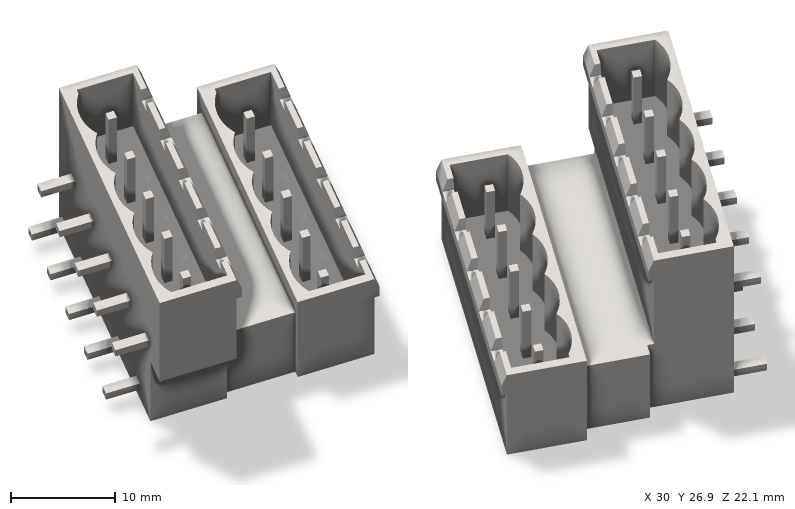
import cadquery as cq

overall_length = 29.98
pole_count = 5
pitch = 5.07
tier_shift = pitch / 2
tier_length = overall_length - tier_shift
tier_height = 12.0
front_top = 22.1
tier_rise = front_top - tier_height
row_spacing = 15.05

body_depth = 7.85
lip_reach = 0.55
lip_height = 2.95
lip_taper = 1.5

first_pole = 3.8
side_wall = 0.8
back_wall = 0.6
scallop_wall = 1.5
scallop_sag = 0.8
cavity_depth = 8.5

notch_top_width = 1.7
notch_bottom_width = 1.25
notch_depth = 1.5

contact_size = 0.85
contact_y = 3.9
contact_below_rim = 1.45
tail_size = 1.0
tail_length = 3.45
tail_z = 1.95

base_height = 9.53
block_left = 1.35
block_right = 26.77
block_front = 8.5


def box(x0, x1, y0, y1, z0, z1):
    """Box between two opposite corners."""
    return cq.Workplane("XY").box(x1 - x0, y1 - y0, z1 - z0, centered=False).translate((x0, y0, z0))


def pole_positions():
    """X of each pole, from the left end of a tier."""
    return [first_pole + i * pitch for i in range(pole_count)]


def tier_body(bottom):
    """Tier block whose profile carries a tapered lip at the top of its back face."""
    lip_y = body_depth + lip_reach
    profile = [
        (0, bottom),
        (body_depth, bottom),
        (body_depth, tier_height - lip_height),
        (lip_y, tier_height - lip_height),
        (lip_y, tier_height - lip_taper),
        (body_depth, tier_height),
        (0, tier_height),
    ]
    return cq.Workplane("YZ").polyline(profile).close().extrude(tier_length)


def cavity():
    """Open-topped plug cavity, with one arc-shaped scallop in its front side per pole."""
    floor = tier_height - cavity_depth
    back = body_depth - back_wall
    right = pole_positions()[-1] + pitch / 2
    outline = cq.Workplane("XY", origin=(0, 0, floor)).moveTo(right, back).lineTo(side_wall, back)
    outline = outline.lineTo(side_wall, scallop_wall).lineTo(first_pole - pitch / 2, scallop_wall)
    for x in pole_positions():
        outline = outline.threePointArc((x, scallop_wall - scallop_sag), (x + pitch / 2, scallop_wall))
    return outline.close().extrude(cavity_depth)


def notch(x):
    """Tapered keying notch through the back wall and lip at one pole."""
    bottom = tier_height - notch_depth
    profile = [
        (x - notch_bottom_width / 2, bottom),
        (x + notch_bottom_width / 2, bottom),
        (x + notch_top_width / 2, tier_height),
        (x - notch_top_width / 2, tier_height),
    ]
    cutter = cq.Workplane("XZ", origin=(0, body_depth + lip_reach, 0)).polyline(profile).close()
    return cutter.extrude(lip_reach + back_wall)


def contact(x):
    """Square contact standing in the cavity, rooted at the cavity floor."""
    half = contact_size / 2
    floor = tier_height - cavity_depth
    tip = tier_height - contact_below_rim
    return box(x - half, x + half, contact_y - half, contact_y + half, floor, tip)


def header_tier(bottom):
    """Complete header tier, with its underside at the given height."""
    tier = tier_body(bottom).cut(cavity())
    for x in pole_positions():
        tier = tier.cut(notch(x)).union(contact(x))
    return tier


def solder_tails(x_shift, z):
    """Row of square solder tails projecting from the front face."""
    half = tail_size / 2
    row = cq.Workplane("XY")
    for pole in pole_positions():
        x = pole + x_shift
        row = row.add(box(x - half, x + half, -tail_length, 0, z - half, z + half))
    return row.combine()


rear_tier = header_tier(0).translate((0, row_spacing, 0))
front_tier = header_tier(base_height - tier_rise).translate((tier_shift, 0, tier_rise))

front_base = box(tier_shift, tier_length, 0, body_depth, 0, base_height)
base_back = box(tier_shift, block_right, body_depth, block_front, 0, base_height)
bridge_block = box(block_left, block_right, block_front, row_spacing, 0, base_height)

result = (
    front_base.union(base_back)
    .union(bridge_block)
    .union(rear_tier)
    .union(front_tier)
    .union(solder_tails(0, tail_z))
    .union(solder_tails(tier_shift, tail_z + tier_rise))
)